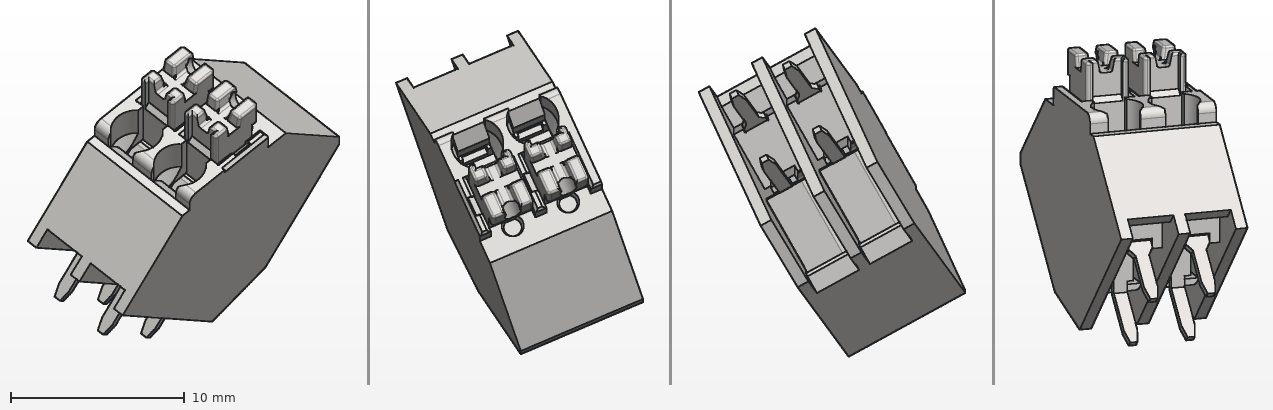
import cadquery as cq
import math

POLE_PITCH = 3.5
WALL = 0.71
SLOT_WIDTH = POLE_PITCH - WALL
WIDTH = 2 * POLE_PITCH + WALL
POLE_CENTRES = (-POLE_PITCH / 2, POLE_PITCH / 2)
ROOT2 = math.sqrt(2)

DEPTH = 17.75
BACK_Y = DEPTH / 2
FRONT_Y = -DEPTH / 2
LEDGE_BACK_Y = 4.49
LEDGE_FRONT_Y = -4.0
BACK_TOP_Z = LEDGE_BACK_Y - BACK_Y
BACK_BOTTOM_Z = -5.05
HEEL_Y = 2.84
HEEL_Z = BACK_BOTTOM_Z - (BACK_Y - HEEL_Y)
NOSE_Z = FRONT_Y - LEDGE_FRONT_Y
TOE_Y = -1.55
TOE_Z = NOSE_Z - (TOE_Y - FRONT_Y)

BLOCK_TOP = 1.14
BLOCK_BACK_Y = 3.05
BLOCK_FRONT_Y = -3.39
BLOCK_FRONT_ROUND = 0.53
BLOCK_BACK_CHAMFER = 0.15

SHAFT_FRONT_Y = -0.51
SHAFT_BACK_Y = 2.55
SHAFT_CHAMFER = 0.21
CAVITY_ROOF_Z = -1.95
FLOOR_Z = -10.08
FLOOR_CHAMFER = 0.18
NOTCH_BACK_Y = 1.88
NOTCH_FRONT_Y = 0.7
NOTCH_SIZE = 0.4

WIRE_Y = -2.06
WIRE_RADIUS = 1.5
WIRE_HALF_WIDTH = 1.0
WIRE_CONE_TOP_Z = -1.01
WIRE_CONE_DEPTH = 0.92
WELL_FRONT_Y = -2.57

PROBE_Y = 2.98
PROBE_RADIUS = 0.64
PROBE_TIP_RADIUS = 0.51
PROBE_DEPTH = 0.35

RECESS_LIP_Y = -7.97
RECESS_LIP_LENGTH = 0.55
RECESS_BACK_Y = -5.98
FRONT_BLOCK_BOTTOM_Z = -6.45

SHEET = 0.39
SHEET_STEP = SHEET / ROOT2
SHEET_WIDTH = 1.56
SHEET_FRONT_Y = -2.7
SHEET_BACK_Y = SHEET_FRONT_Y + SHEET
SHEET_TOP_Z = -2.8
SHEET_SHOULDER_Z = -9.23
SHEET_BEND_Z = -9.89
PIN_WIDTH = 0.82
PIN_TIP_WIDTH = 0.45
PIN_TAPER = 0.78
PIN_END_SUM = -17.25
HEAD_WIDTH = 1.45
HEAD_SHOULDER = 0.45
HEAD_START = 2.9
HEAD_BEVEL = 0.12

BUTTON_WIDTH = 2.61
BUTTON_TOP = 3.39
BUTTON_BOTTOM = -2.13
BUTTON_BACK_Y = 3.02
BUTTON_SHAFT_BACK_Y = 2.52
BUTTON_FRONT_Y = -0.46
BUTTON_HEAD_Z = 1.85
BUTTON_ROUND = 0.21
BUTTON_TOP_ROUND = 0.15
PANEL_WIDTH = 1.83
PANEL_Y = -0.15
PANEL_RAMP_Z = 0.92
GROOVE_FLOOR_Z = 2.61
CROSS_GROOVE_Y = 1.03
CROSS_GROOVE_FLOOR = 0.64
LONG_GROOVE_FLOOR = 0.73
GROOVE_FLARE = 0.16
GROOVE_ROUND = 0.18
POST_ROUND = 0.2
POST_END_ROUND = 0.16
PICK_MARGIN = 0.02
PROBE_GROOVE_FRONT_Y = 2.24

SPRING_SHEET = 0.2
SPRING_LEFT = -1.31
SPRING_WIDTH = 2.15
SPRING_FOOT_Z = -9.92
SPRING_BROW = (-0.65, BUTTON_BOTTOM)
SPRING_STEP = (-0.87, -2.24)
SPRING_KNEE = (-1.53, -2.8)
SPRING_HEEL = (-1.8, -3.16)
SPRING_TIP = (SHEET_BACK_Y, -3.34)
FOOT_WIDTH = 2.68
FOOT_HEIGHT = 0.39
FOOT_ROUND = 0.35


def side_prism(points, x_start, x_end):
    """Extrude a closed (Y, Z) outline from x_start to x_end."""
    return (
        cq.Workplane("YZ", origin=(x_start, 0, 0))
        .polyline(points)
        .close()
        .extrude(x_end - x_start)
    )


def block(x_range, y_range, z_range):
    """Axis-aligned box between pairs of limits."""
    size = [high - low for low, high in (x_range, y_range, z_range)]
    corner = (x_range[0], y_range[0], z_range[0])
    return cq.Workplane("XY").box(*size, centered=False).translate(corner)


def pole_prism(points, width, centre):
    """Extrude a closed (Y, Z) outline symmetrically about a pole centre."""
    return side_prism(points, centre - width / 2, centre + width / 2)


def strip_outline(path, thickness):
    """Closed outline of a bent strip lying to the left of a (Y, Z) path."""
    normals = []
    for (y0, z0), (y1, z1) in zip(path, path[1:]):
        length = math.hypot(y1 - y0, z1 - z0)
        normals.append(((z0 - z1) / length, (y1 - y0) / length))
    offset = []
    for i, (y, z) in enumerate(path):
        before = normals[max(i - 1, 0)]
        after = normals[min(i, len(normals) - 1)]
        mitre = 1 + before[0] * after[0] + before[1] * after[1]
        offset.append((
            y + thickness * (before[0] + after[0]) / mitre,
            z + thickness * (before[1] + after[1]) / mitre,
        ))
    return path + offset[::-1]


def slanted_plate(outline, top_y, top_z, centre, thickness):
    """Plate sloping 45 degrees down to the front; (top_y, top_z) is on its upper face."""
    plane = cq.Plane(origin=(centre, top_y, top_z), xDir=(1, 0, 0), normal=(0, -1, 1))
    return cq.Workplane(plane).polyline(outline).close().extrude(-thickness)


def housing_body():
    shell = side_prism(
        [
            (LEDGE_BACK_Y, 0),
            (BACK_Y, BACK_TOP_Z),
            (BACK_Y, BACK_BOTTOM_Z),
            (HEEL_Y, HEEL_Z),
            (TOE_Y, TOE_Z),
            (FRONT_Y, NOSE_Z),
            (LEDGE_FRONT_Y, 0),
        ],
        -WIDTH / 2,
        WIDTH / 2,
    )
    top = block((-WIDTH / 2, WIDTH / 2), (BLOCK_FRONT_Y, BLOCK_BACK_Y), (0, BLOCK_TOP))
    top = top.edges(">Z and <Y").fillet(BLOCK_FRONT_ROUND)
    top = top.edges(">Z and >Y").chamfer(BLOCK_BACK_CHAMFER)
    return shell.union(top)


def pin_recess(centre):
    """Space between two walls, open below and at the slanted front."""
    lip_back_y = RECESS_LIP_Y + RECESS_LIP_LENGTH
    lip_front_z = RECESS_LIP_Y - LEDGE_FRONT_Y
    lip_back_z = lip_front_z - RECESS_LIP_LENGTH
    return pole_prism(
        [
            (FRONT_Y, lip_front_z + RECESS_LIP_Y - FRONT_Y),
            (lip_back_y, lip_back_z),
            (RECESS_BACK_Y, lip_back_z),
            (RECESS_BACK_Y, FRONT_BLOCK_BOTTOM_Z),
            (SHAFT_FRONT_Y, FRONT_BLOCK_BOTTOM_Z),
            (SHAFT_BACK_Y, FLOOR_Z + FLOOR_CHAMFER),
            (SHAFT_BACK_Y + FLOOR_CHAMFER, FLOOR_Z),
            (BACK_Y, FLOOR_Z),
            (BACK_Y, TOE_Z),
            (FRONT_Y, TOE_Z),
        ],
        SLOT_WIDTH,
        centre,
    )


def button_shaft(centre):
    """Button slot through the block, opening into the spring cavity."""
    left = centre - SLOT_WIDTH / 2
    right = centre + SLOT_WIDTH / 2
    slot = block((left, right), (SHAFT_FRONT_Y, BACK_Y), (0, BLOCK_TOP))
    shaft = block((left, right), (SHAFT_FRONT_Y, SHAFT_BACK_Y), (FLOOR_Z, 0))
    cavity = block((left, right), (SHEET_BACK_Y, SHAFT_BACK_Y), (FLOOR_Z, CAVITY_ROOF_Z))
    contact_seat = block(
        (centre - SHEET_WIDTH / 2, centre + SHEET_WIDTH / 2),
        (SHEET_FRONT_Y, SHEET_BACK_Y),
        (FRONT_BLOCK_BOTTOM_Z, CAVITY_ROOF_Z),
    )
    notch = (
        cq.Workplane("XZ", origin=(right, NOTCH_FRONT_Y, 0))
        .moveTo(0, BLOCK_TOP)
        .lineTo(NOTCH_SIZE, BLOCK_TOP)
        .lineTo(0, BLOCK_TOP - NOTCH_SIZE)
        .close()
        .extrude(NOTCH_FRONT_Y - NOTCH_BACK_Y)
    )
    return slot.union(shaft).union(cavity).union(contact_seat).union(notch)


def shaft_lead_in(centre):
    """Bevels along both long edges of a button slot."""
    return (
        cq.Workplane("XZ", origin=(centre, SHAFT_FRONT_Y, 0))
        .moveTo(-SLOT_WIDTH / 2 - SHAFT_CHAMFER, BLOCK_TOP)
        .lineTo(-SLOT_WIDTH / 2, BLOCK_TOP - SHAFT_CHAMFER)
        .lineTo(SLOT_WIDTH / 2, BLOCK_TOP - SHAFT_CHAMFER)
        .lineTo(SLOT_WIDTH / 2 + SHAFT_CHAMFER, BLOCK_TOP)
        .close()
        .extrude(SHAFT_FRONT_Y - BLOCK_BACK_Y)
    )


def wire_entry(centre):
    """Round funnel with a flat 45 degree ramp leading down from the front."""
    bore = (
        cq.Workplane("XY", origin=(centre, WIRE_Y, WIRE_CONE_TOP_Z))
        .circle(WIRE_RADIUS)
        .extrude(BLOCK_TOP - WIRE_CONE_TOP_Z)
    )
    cone = cq.Workplane(
        cq.Solid.makeCone(
            WIRE_RADIUS,
            WIRE_HALF_WIDTH,
            WIRE_CONE_DEPTH,
            cq.Vector(centre, WIRE_Y, WIRE_CONE_TOP_Z),
            cq.Vector(0, 0, -1),
        )
    )
    channel = block(
        (centre - WIRE_HALF_WIDTH, centre + WIRE_HALF_WIDTH),
        (BLOCK_FRONT_Y, SHAFT_FRONT_Y),
        (CAVITY_ROOF_Z, BLOCK_TOP),
    )
    ramp_front_y = WIRE_Y - 2 * WIRE_RADIUS
    ramp = pole_prism(
        [
            (ramp_front_y, 0),
            (BLOCK_FRONT_Y, 0),
            (WELL_FRONT_Y, BLOCK_FRONT_Y - WELL_FRONT_Y),
            (WELL_FRONT_Y, CAVITY_ROOF_Z),
            (ramp_front_y, CAVITY_ROOF_Z),
        ],
        2 * WIRE_HALF_WIDTH,
        centre,
    )
    return bore.union(cone).union(channel).cut(ramp)


def probe_hole(centre):
    return cq.Workplane(
        cq.Solid.makeCone(
            PROBE_RADIUS, PROBE_TIP_RADIUS, PROBE_DEPTH, cq.Vector(centre, PROBE_Y, 0), cq.Vector(0, 0, -1)
        )
    )


def contact_slot(centre):
    """Slanted slot through the front block for the contact head, bevelled at its mouth."""
    half = SHEET_WIDTH / 2
    length = (SHEET_FRONT_Y - RECESS_BACK_Y + SHEET) * ROOT2
    outline = [(-half, 0), (half, 0), (half, -length), (-half, -length)]
    slot = slanted_plate(outline, SHEET_FRONT_Y, SHEET_TOP_Z, centre, SHEET)
    bevel_y = RECESS_BACK_Y + HEAD_BEVEL
    bevel_z = SHEET_TOP_Z + bevel_y - SHEET_FRONT_Y
    bevel = pole_prism(
        [
            (bevel_y, bevel_z),
            (RECESS_BACK_Y, bevel_z + HEAD_BEVEL),
            (RECESS_BACK_Y, bevel_z - HEAD_BEVEL),
        ],
        SHEET_WIDTH,
        centre,
    )
    return slot.union(bevel)


def make_housing():
    body = housing_body()
    for centre in POLE_CENTRES:
        body = body.cut(pin_recess(centre))
        body = body.cut(button_shaft(centre))
        body = body.cut(wire_entry(centre))
        body = body.cut(probe_hole(centre))
        body = body.cut(contact_slot(centre))
    for centre in POLE_CENTRES + (POLE_CENTRES[-1] + POLE_PITCH,):
        body = body.cut(shaft_lead_in(centre))
    return body


def pin_outline(tip):
    """Right and left edge points of a tapered pin whose tip is at the given position."""
    half = PIN_WIDTH / 2
    tip_half = PIN_TIP_WIDTH / 2
    right = [(tip_half, tip), (half, tip + PIN_TAPER)]
    left = [(-half, tip + PIN_TAPER), (-tip_half, tip)]
    return right, left


def front_pin(centre):
    """Slanted plate that narrows from the wide head to the front pin."""
    tip = (PIN_END_SUM - SHEET_FRONT_Y - SHEET_TOP_Z) / ROOT2
    right, left = pin_outline(tip)
    half = HEAD_WIDTH / 2
    neck = tip + HEAD_START
    head = [
        (PIN_WIDTH / 2, neck),
        (half, neck + HEAD_SHOULDER),
        (half, 0),
        (-half, 0),
        (-half, neck + HEAD_SHOULDER),
        (-PIN_WIDTH / 2, neck),
    ]
    return slanted_plate(right + head + left, SHEET_FRONT_Y, SHEET_TOP_Z, centre, SHEET)


def rear_pin(centre):
    tip = (PIN_END_SUM - SHEET_FRONT_Y - SHEET_BEND_Z) / ROOT2
    right, left = pin_outline(tip)
    root = [(PIN_WIDTH / 2, 0), (-PIN_WIDTH / 2, 0)]
    return slanted_plate(right + root + left, SHEET_FRONT_Y, SHEET_BEND_Z, centre, SHEET)


def make_contact(centre):
    """One bent sheet: front pin, upright web and rear pin."""
    web = block(
        (centre - SHEET_WIDTH / 2, centre + SHEET_WIDTH / 2),
        (SHEET_FRONT_Y, SHEET_BACK_Y),
        (SHEET_SHOULDER_Z, SHEET_TOP_Z),
    )
    bend_y = SHEET_FRONT_Y + SHEET_STEP
    bend_z = SHEET_BEND_Z - SHEET_STEP
    neck = pole_prism(
        [
            (SHEET_FRONT_Y, SHEET_SHOULDER_Z),
            (SHEET_FRONT_Y, SHEET_BEND_Z),
            (bend_y, bend_z),
            (SHEET_BACK_Y, bend_z + SHEET_BACK_Y - bend_y),
            (SHEET_BACK_Y, SHEET_SHOULDER_Z),
        ],
        PIN_WIDTH,
        centre,
    )
    return web.union(neck).union(front_pin(centre)).union(rear_pin(centre))


def button_blank(centre):
    """Stem with an overhanging head, all upright corners rounded."""
    half = BUTTON_WIDTH / 2
    sides = (centre - half, centre + half)
    blank = block(sides, (BUTTON_FRONT_Y, BUTTON_BACK_Y), (BUTTON_BOTTOM, BUTTON_TOP))
    blank = blank.edges("|Z").fillet(BUTTON_ROUND)
    undercut = block(sides, (BUTTON_SHAFT_BACK_Y, BUTTON_BACK_Y), (BUTTON_BOTTOM, BUTTON_HEAD_Z))
    return blank.cut(undercut)


def groove_outline(floor):
    """Trapezoidal groove section standing on the groove floor."""
    height = BUTTON_TOP - GROOVE_FLOOR_Z
    top = floor / 2 + GROOVE_FLARE
    return [(-floor / 2, 0), (floor / 2, 0), (top, height), (-top, height)]


def button_grooves(centre):
    """Two crossing grooves that leave four posts on the button."""
    cross = (
        cq.Workplane("YZ", origin=(centre - BUTTON_WIDTH / 2, CROSS_GROOVE_Y, GROOVE_FLOOR_Z))
        .polyline(groove_outline(CROSS_GROOVE_FLOOR))
        .close()
        .extrude(BUTTON_WIDTH)
    )
    long = (
        cq.Workplane("XZ", origin=(centre, BUTTON_FRONT_Y, GROOVE_FLOOR_Z))
        .polyline(groove_outline(LONG_GROOVE_FLOOR))
        .close()
        .extrude(BUTTON_FRONT_Y - BUTTON_BACK_Y)
    )
    crossing = cq.selectors.BoxSelector(
        (centre - LONG_GROOVE_FLOOR, CROSS_GROOVE_Y - CROSS_GROOVE_FLOOR, GROOVE_FLOOR_Z + PICK_MARGIN),
        (centre + LONG_GROOVE_FLOOR, CROSS_GROOVE_Y + CROSS_GROOVE_FLOOR, BUTTON_TOP - PICK_MARGIN),
    )
    grooves = cross.union(long).edges(crossing).fillet(POST_ROUND)
    rounded = long.faces("<Z").edges("|Y").fillet(GROOVE_ROUND)
    corner_fill = long.cut(rounded).cut(cross)
    return grooves.cut(corner_fill)


def front_panel(centre):
    """Recess in the front face, ending below in a 45 degree ramp."""
    return pole_prism(
        [
            (PANEL_Y, BUTTON_TOP),
            (PANEL_Y, PANEL_RAMP_Z + PANEL_Y - BUTTON_FRONT_Y),
            (BUTTON_FRONT_Y, PANEL_RAMP_Z),
            (BUTTON_FRONT_Y, BUTTON_TOP),
        ],
        PANEL_WIDTH,
        centre,
    )


def probe_groove(centre):
    """Round groove slanting down to the back, in line with the probe hole."""
    axis = cq.Vector(0, 1, -1)
    reach = BUTTON_TOP - BUTTON_BOTTOM
    start_y = PROBE_GROOVE_FRONT_Y + PROBE_TIP_RADIUS * ROOT2
    start = cq.Vector(centre, start_y, GROOVE_FLOOR_Z) - axis.normalized() * PROBE_TIP_RADIUS
    return cq.Workplane(cq.Solid.makeCylinder(PROBE_TIP_RADIUS, reach, start, axis))


def make_button(centre):
    button = button_blank(centre).cut(button_grooves(centre)).cut(front_panel(centre))
    half = BUTTON_WIDTH / 2
    for x in (centre - half, centre + half):
        groove_ends = cq.selectors.BoxSelector(
            (x - PICK_MARGIN, CROSS_GROOVE_Y - CROSS_GROOVE_FLOOR, GROOVE_FLOOR_Z + PICK_MARGIN),
            (x + PICK_MARGIN, CROSS_GROOVE_Y + CROSS_GROOVE_FLOOR, BUTTON_TOP - PICK_MARGIN),
        )
        button = button.edges(groove_ends).fillet(POST_END_ROUND)
    button = button.faces(">Z").edges().fillet(BUTTON_TOP_ROUND)
    return button.cut(probe_groove(centre))


def make_spring(centre):
    """Bent leaf: clamping tongue, run under the button, back leg and foot."""
    path = [
        SPRING_TIP,
        SPRING_HEEL,
        SPRING_KNEE,
        SPRING_STEP,
        SPRING_BROW,
        (SHAFT_BACK_Y, BUTTON_BOTTOM),
        (SHAFT_BACK_Y, SPRING_FOOT_Z),
        (SHEET_BACK_Y, SPRING_FOOT_Z),
    ]
    left = centre + SPRING_LEFT
    leaf = side_prism(strip_outline(path, -SPRING_SHEET), left, left + SPRING_WIDTH)
    foot = block(
        (left, left + FOOT_WIDTH),
        (SHEET_BACK_Y, SHAFT_BACK_Y),
        (SPRING_FOOT_Z, SPRING_FOOT_Z + FOOT_HEIGHT),
    )
    foot = foot.edges("<Z and >X").fillet(FOOT_ROUND)
    return leaf.union(foot)


housing = make_housing()
contacts = [make_contact(centre) for centre in POLE_CENTRES]
buttons = [make_button(centre) for centre in POLE_CENTRES]
springs = [make_spring(centre) for centre in POLE_CENTRES]

result = cq.Compound.makeCompound(
    [housing.val()] + [body.val() for body in contacts + buttons + springs]
)